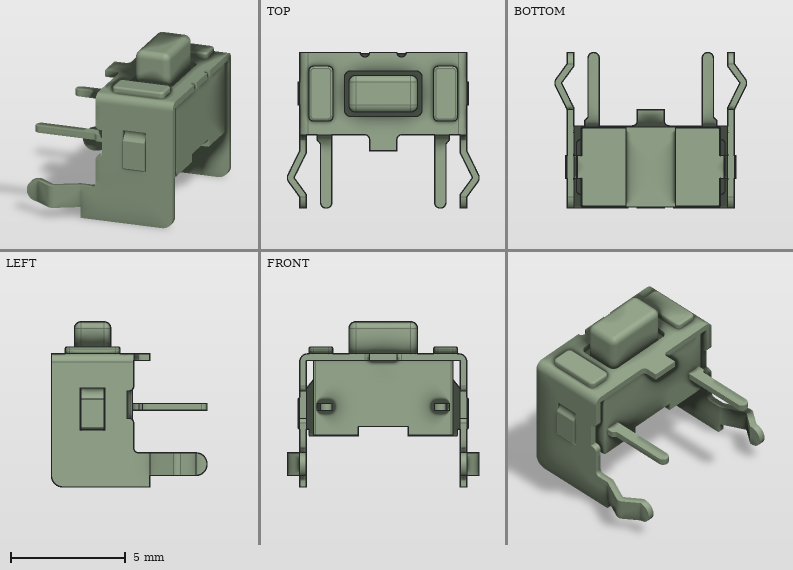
import cadquery as cq
import math


frame_width = 7.3
frame_depth = 3.6
frame_height = 5.82
sheet = 0.3
bend_radius = 0.36
foot_front = 2.5
small_radius = 0.2
rear_corner_radius = 0.5
wall_x = frame_width / 2
wall_inner_x = wall_x - sheet
frame_y = frame_depth / 2
plate_bottom = frame_height - sheet

tab_width = 1.2
rear_notch_spacing = 1.6
rear_notch_radius = 0.2

opening_length = 3.4
opening_width = 2.0
opening_radius = 0.3

wall_notch_bottom = 3.0
wall_notch_top = 4.2
wall_notch_depth = 0.3

window_width = 1.1
window_bottom = 2.49
window_top = 4.32

leg_bottom = 0.5
leg_width = 1.0
leg_top = leg_bottom + leg_width
leg_tip_radius = leg_width / 2
leg_reach = 4.19
leg_end = 5.0
leg_out_angle = 26.2
leg_back_angle = 36.0

housing_length = 6.1
housing_depth = 3.5
housing_bottom = 2.22
housing_corner_radius = 0.1
housing_edge_bevel = 0.05
housing_side = housing_length / 2
recess_length = 2.18
recess_top = 2.64

lug_width = 1.0
lug_x = 3.71
lug_bottom = 2.52
lug_slope_bottom = 3.84
lug_slope_top = 4.69
lug_bevel = 0.05

pad_length = 1.05
pad_depth = 2.4
pad_height = 0.3
pad_spacing = 5.44
pad_corner_radius = 0.2
pad_edge_radius = 0.1
pad_outer_x = (pad_spacing + pad_length) / 2

pin_spacing = 4.98
pin_width = 0.5
pin_thickness = 0.3
pin_bottom = 3.35
pin_end = 5.0
pin_shoulder = 0.15
pin_shoulder_end = 2.03
pin_root = 1.5

button_length = 3.0
button_width = 1.6
button_top = 7.22
button_radius = 0.3


def mirrored_pair(solid):
    """The +X solid together with its mirror image."""
    return solid.union(solid.mirror("YZ"))


def rounded_block(length, width, bottom, top, corner_radius):
    """Upright block with round vertical edges, centred on the Z axis."""
    block = cq.Workplane("XY").workplane(offset=bottom).rect(length, width).extrude(top - bottom)
    return block.edges("|Z").fillet(corner_radius)


def make_leg_band():
    """Zigzag strip from the +X wall to the leg tip, with a rounded outer elbow."""
    out_angle = math.radians(leg_out_angle)
    back_angle = math.radians(leg_back_angle)
    elbow_x = leg_reach - sheet
    inner_start_y = -foot_front - sheet * math.tan(out_angle / 2)
    elbow_y = inner_start_y - (elbow_x - wall_inner_x) / math.tan(out_angle)
    inner_end_y = elbow_y - (elbow_x - wall_inner_x) / math.tan(back_angle)
    outer_end_y = inner_end_y - sheet * math.tan(back_angle / 2)

    def elbow_point(angle):
        return (elbow_x + sheet * math.cos(angle), elbow_y + sheet * math.sin(angle))

    return (
        cq.Workplane("XY")
        .workplane(offset=leg_bottom)
        .moveTo(wall_inner_x, -frame_y)
        .lineTo(wall_inner_x, inner_start_y)
        .lineTo(elbow_x, elbow_y)
        .lineTo(wall_inner_x, inner_end_y)
        .lineTo(wall_inner_x, -leg_end)
        .lineTo(wall_x, -leg_end)
        .lineTo(wall_x, outer_end_y)
        .lineTo(*elbow_point(-back_angle))
        .threePointArc(elbow_point(0), elbow_point(out_angle))
        .lineTo(wall_x, -foot_front)
        .lineTo(wall_x, -frame_y)
        .close()
        .extrude(leg_width)
    )


def make_leg():
    """Leg strip with its tip rounded to a half circle."""
    tip_center_y = -leg_end + leg_tip_radius
    tip_center_z = leg_bottom + leg_tip_radius
    limit = (
        cq.Workplane("YZ")
        .moveTo(-frame_y, leg_bottom)
        .lineTo(tip_center_y, leg_bottom)
        .threePointArc((-leg_end, tip_center_z), (tip_center_y, leg_top))
        .lineTo(-frame_y, leg_top)
        .close()
        .extrude(leg_reach)
    )
    return make_leg_band().intersect(limit)


def make_wall_cut():
    """Everything cut from the side walls, through both walls along X."""
    front_gap = (
        cq.Workplane("YZ")
        .moveTo(-foot_front, leg_top)
        .lineTo(-frame_y - small_radius, leg_top)
        .radiusArc((-frame_y, leg_top + small_radius), -small_radius)
        .lineTo(-frame_y, wall_notch_bottom - small_radius)
        .radiusArc((-frame_y + small_radius, wall_notch_bottom), small_radius)
        .lineTo(-frame_y + wall_notch_depth, wall_notch_bottom)
        .lineTo(-frame_y + wall_notch_depth, wall_notch_top)
        .lineTo(-frame_y + small_radius, wall_notch_top)
        .radiusArc((-frame_y, wall_notch_top + small_radius), small_radius)
        .lineTo(-frame_y, plate_bottom)
        .lineTo(-foot_front, plate_bottom)
        .close()
        .extrude(wall_x, both=True)
    )
    window_height = window_top - window_bottom
    window = (
        cq.Workplane("YZ")
        .center(0, window_bottom + window_height / 2)
        .rect(window_width, window_height)
        .extrude(wall_x, both=True)
    )
    return front_gap.union(window)


def make_plate_trim():
    """Front strip removed from the top plate on both sides of the middle tab."""
    strip = (
        cq.Workplane("XY")
        .workplane(offset=plate_bottom)
        .moveTo(wall_x, -frame_y)
        .lineTo(tab_width / 2 + small_radius, -frame_y)
        .radiusArc((tab_width / 2, -frame_y - small_radius), -small_radius)
        .lineTo(tab_width / 2, -foot_front)
        .lineTo(wall_x, -foot_front)
        .close()
        .extrude(sheet)
    )
    return mirrored_pair(strip)


def make_frame():
    """Folded U-shaped cover with tab, legs, windows and top openings."""
    sheet_length = frame_y + foot_front
    frame = (
        cq.Workplane("XZ", origin=(0, frame_y, 0))
        .rect(frame_width, 2 * frame_height)
        .extrude(sheet_length)
        .edges("|Y and >Z")
        .fillet(bend_radius)
    )
    inside = cq.Workplane("XZ", origin=(0, frame_y, 0)).rect(2 * wall_inner_x, 2 * plate_bottom)
    frame = frame.cut(inside.extrude(sheet_length))
    below = cq.Workplane("XZ", origin=(0, frame_y, -frame_height / 2)).rect(frame_width, frame_height)
    frame = frame.cut(below.extrude(sheet_length))
    frame = frame.edges("|X and >Y and <Z").fillet(rear_corner_radius)

    frame = frame.cut(make_wall_cut()).cut(make_plate_trim())
    frame = frame.cut(rounded_block(opening_length, opening_width, plate_bottom, frame_height, opening_radius))
    rear_notches = (
        cq.Workplane("XY")
        .workplane(offset=plate_bottom)
        .pushPoints([(side * rear_notch_spacing / 2, frame_y) for side in (-1, 1)])
        .circle(rear_notch_radius)
        .extrude(sheet)
    )
    frame = frame.cut(rear_notches)
    return frame.union(mirrored_pair(make_leg()))


def make_pad(top):
    """Post for the +X pad, with plain top edges."""
    pad = rounded_block(pad_length, pad_depth, plate_bottom, top, pad_corner_radius)
    return pad.translate((pad_spacing / 2, 0, 0))


def make_lug():
    """Snap lug on the +X end, sloped at the top and stepped back below the wall window."""
    return (
        cq.Workplane("XZ", origin=(0, lug_width / 2, 0))
        .moveTo(housing_side - housing_corner_radius, lug_slope_top)
        .lineTo(housing_side, lug_slope_top)
        .lineTo(lug_x, lug_slope_bottom)
        .lineTo(lug_x, lug_bottom + lug_bevel)
        .lineTo(lug_x - lug_bevel, lug_bottom)
        .lineTo(pad_outer_x, lug_bottom)
        .lineTo(pad_outer_x, housing_bottom + lug_bevel)
        .lineTo(pad_outer_x - lug_bevel, housing_bottom)
        .lineTo(housing_side - housing_corner_radius, housing_bottom)
        .close()
        .extrude(lug_width)
    )


def make_pin():
    """Flat terminal at +X with an outward shoulder and a round tip."""
    pin_inner = (pin_spacing - pin_width) / 2
    pin_outer = pin_inner + pin_width
    tip_radius = pin_width / 2
    return (
        cq.Workplane("XY")
        .workplane(offset=pin_bottom)
        .moveTo(pin_inner, -pin_root)
        .lineTo(pin_inner, -pin_end + tip_radius)
        .threePointArc((pin_spacing / 2, -pin_end), (pin_outer, -pin_end + tip_radius))
        .lineTo(pin_outer, -pin_shoulder_end - pin_shoulder)
        .lineTo(pin_outer + pin_shoulder, -pin_shoulder_end)
        .lineTo(pin_outer + pin_shoulder, -pin_root)
        .close()
        .extrude(pin_thickness)
    )


def make_housing():
    """Moulded body with a bottom recess, top pads, end lugs and pins."""
    body = rounded_block(housing_length, housing_depth, housing_bottom, plate_bottom, housing_corner_radius)
    body = body.faces("<Z").edges().chamfer(housing_edge_bevel)
    recess = cq.Workplane("XY").workplane(offset=housing_bottom).rect(recess_length, housing_depth)
    body = body.cut(recess.extrude(recess_top - housing_bottom))
    pad = make_pad(frame_height + pad_height).faces(">Z").edges().fillet(pad_edge_radius)
    for feature in (pad, make_lug(), make_pin()):
        body = body.union(mirrored_pair(feature))
    return body


def make_button():
    """Push button with round upper edges, resting on the housing."""
    button = rounded_block(button_length, button_width, plate_bottom, button_top, button_radius)
    return button.faces(">Z").edges().fillet(button_radius)


housing = make_housing()
button = make_button()
frame = make_frame().cut(mirrored_pair(make_pad(frame_height)))

result = cq.Compound.makeCompound([frame.val(), housing.val(), button.val()])